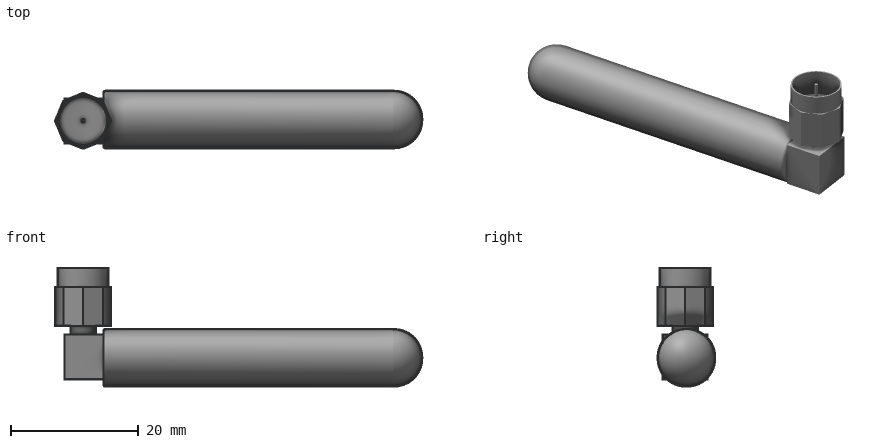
import cadquery as cq

length = 57.45
sheath_diameter = 9.0
sheath_radius = sheath_diameter / 2
sheath_edge_round = 0.4

connector_y = -0.2
nut_sides = 8
nut_height = 6.1
collar_diameter = 8.0
nut_corner_diameter = 8.75
collar_height = 3.0
bore_diameter = 7.5
bore_depth = 4.1
pin_diameter = 0.5
neck_diameter = 4.0
neck_height = 1.3
block_size = 7.05
block_top = 3.7

sheath_start = 3.15
block_start = -2.95
sheath_end = length - nut_corner_diameter / 2

nut_bottom = block_top + neck_height
nut_top = nut_bottom + nut_height
collar_top = nut_top + collar_height
bore_floor = collar_top - bore_depth


def upright_cylinder(diameter, bottom, top):
    """Cylinder on the connector axis between two levels."""
    return (
        cq.Workplane("XY", origin=(0, connector_y, bottom))
        .circle(diameter / 2)
        .extrude(top - bottom)
    )


def make_sheath():
    """Solid rod with a rounded near edge and a hemispherical far end."""
    dome_start = sheath_end - sheath_radius
    rod = (
        cq.Workplane("YZ", origin=(sheath_start, 0, 0))
        .circle(sheath_radius)
        .extrude(dome_start - sheath_start)
        .faces("<X")
        .edges()
        .fillet(sheath_edge_round)
    )
    dome = (
        cq.Workplane("XY", origin=(dome_start, 0, 0))
        .lineTo(sheath_radius, 0)
        .radiusArc((0, sheath_radius), -sheath_radius)
        .close()
        .revolve(360, (0, 0, 0), (1, 0, 0))
    )
    return rod.union(dome)


def make_connector():
    """Elbow block, neck, octagonal nut and hollow collar with a centre pin."""
    block = cq.Workplane("XY").box(
        sheath_start - block_start, block_size, block_size, centered=(False, True, False)
    ).translate((block_start, connector_y, block_top - block_size))
    neck = upright_cylinder(neck_diameter, block_top, nut_bottom)
    nut = (
        cq.Workplane("XY", origin=(0, connector_y, nut_bottom))
        .polygon(nut_sides, nut_corner_diameter)
        .extrude(nut_height)
    )
    collar = upright_cylinder(collar_diameter, nut_top, collar_top)
    bore = upright_cylinder(bore_diameter, bore_floor, collar_top)
    pin = upright_cylinder(pin_diameter, bore_floor, collar_top)
    return block.union(neck).union(nut).union(collar).cut(bore).union(pin)


sheath = make_sheath()
connector = make_connector()

result = cq.Compound.makeCompound([sheath.val(), connector.val()])